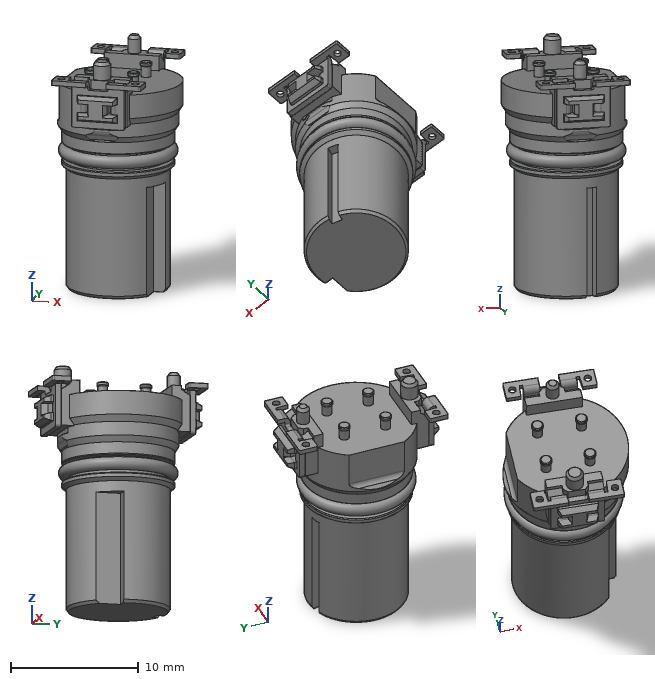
import cadquery as cq
import math

TOTAL_HEIGHT = 19.35
TOTAL_WIDTH_Y = 12.9
TUBE_R = 4.1
TUBE_CHAMFER_IN = 0.2
TUBE_CHAMFER_HEIGHT = 0.25
COLLAR_R = 4.45
GROOVE_R = 3.77
EDGE_CHAMFER = 0.08
BODY_R = 4.78
HEAD_R = 5.1
FLANGE_CONE_BOTTOM = 9.73
FLANGE_RIM_BOTTOM = 10.0
FLANGE_TOP = 10.35
COLLAR_BOTTOM = 11.78
COLLAR_TOP = 12.77
BODY_BOTTOM = 13.25
HEAD_CONE_BOTTOM = 14.34
HEAD_BOTTOM = 14.86
BODY_TOP = 16.75

RING_SECTION_R = 0.5
RING_OUTER_R = 4.7
RING_Z = 11.1

KEYWAY_TOP = 8.88
CORNER_KEYWAY_X = 3.1
CORNER_KEYWAY_Y = -0.68
SLOT_ANGLE = 105.5
SLOT_WIDTH = 0.89
SLOT_FLOOR_R = 3.39

FLAT_X = -4.16
FLAT_BOTTOM = 13.97
HOLLOW_X = -4.49
HOLLOW_Z = 13.56
SLOPE_END_Z = 13.33

SIDE_FLAT_Y = 4.53
NOSE_Y = 4.75
NOSE_TOP = 13.84
NOSE_ROUND_TOP = 13.65
NOSE_ROUND_MID_Y = 4.7
NOSE_ROUND_MID_Z = 13.47
NOSE_SLOPE_Y = 4.62
NOSE_SLOPE_TOP = 13.33
NOSE_FOOT_Y = 4.43
NOSE_FOOT_Z = 12.93

ROOT_DEPTH = 0.2

CONTACT_OFFSET = 1.76
CONTACT_STEM_D = 0.8
CONTACT_HEAD_D = 0.93
CONTACT_HEAD_BOTTOM = 17.6

SHOULDER_TOP = 17.94
CARRIER_HALF_X = 2.25
CARRIER_INNER_Y = 3.75
CARRIER_OUTER_Y = 5.26
CARRIER_BOTTOM = 14.28
RAMP_Y = 4.55
RAMP_TOP = 17.65
RAMP_BOTTOM = 17.16
TONGUE_HALF_X = 1.03
TONGUE_TIP_HALF_X = 0.7
TONGUE_TAPER_Y = 4.91

POST_Y = 4.53
FRONT_POST_D = 1.37
FRONT_POST_TIP_D = 1.0
REAR_POST_D = 1.03
REAR_POST_TIP_D = 0.62
POST_TIP_HEIGHT = 0.27

SHEET_OUTER_Y = 5.73
SHEET_THICKNESS = SHEET_OUTER_Y - CARRIER_OUTER_Y
SHEET_HALF_X = 2.15
SHEET_BOTTOM = 14.15
SHEET_CORNER_R = 0.14
WING_BOTTOM = 17.55
WING_OUTER_Y = 6.35
WING_HALF_X = 3.64
WING_CORNER_R = 0.12
EAR_INNER_Y = 4.78
EAR_INNER_HALF_X = 2.48
RELIEF_HALF_X = 2.4
RELIEF_END_Y = 5.85
EAR_HOLE_D = 0.58
EAR_HOLE_X = (WING_HALF_X + RELIEF_HALF_X) / 2
EAR_HOLE_Y = 5.55
NOTCH_HALF_X = 0.83
NOTCH_CORNER_R = 0.17
NOTCH_BOTTOM = 17.2

CATCH_NECK_Y = 5.95
CATCH_OUTER_Y = TOTAL_WIDTH_Y / 2
CATCH_HALF_X = 1.63
CATCH_TIP_HALF_X = 1.4
CATCH_BOTTOM = 14.73
CATCH_TOP = 16.78
CATCH_TIP_INSET = 0.23
WINDOW_BOTTOM = 15.36
WINDOW_TOP = 16.23
WINDOW_TIP_BOTTOM = 15.23
WEB_TIP_HALF_X = 0.58
WEB_ROOT_HALF_X = 0.8


def box(x0, x1, y0, y1, z0, z1):
    """Box between two corners."""
    return cq.Workplane("XY").box(x1 - x0, y1 - y0, z1 - z0, centered=False).translate((x0, y0, z0))


def turned(points):
    """Solid turned about Z from (radius, z) points; its seam lies on the -Y side."""
    profile = [(-r, z) for r, z in points]
    return cq.Workplane("YZ").polyline(profile).close().revolve(360, (0, 0, 0), (0, 1, 0))


def both_sides(build_for_side):
    """Union of the same shape built for +X and for -X."""
    return build_for_side(1).union(build_for_side(-1))


def turned_body():
    shell = turned([
        (0, 0),
        (TUBE_R - TUBE_CHAMFER_IN, 0),
        (TUBE_R, TUBE_CHAMFER_HEIGHT),
        (TUBE_R, FLANGE_CONE_BOTTOM),
        (COLLAR_R, FLANGE_RIM_BOTTOM),
        (COLLAR_R, FLANGE_TOP - EDGE_CHAMFER),
        (COLLAR_R - EDGE_CHAMFER, FLANGE_TOP),
        (GROOVE_R, FLANGE_TOP),
        (GROOVE_R, COLLAR_BOTTOM),
        (COLLAR_R - EDGE_CHAMFER, COLLAR_BOTTOM),
        (COLLAR_R, COLLAR_BOTTOM + EDGE_CHAMFER),
        (COLLAR_R, COLLAR_TOP),
        (BODY_R, BODY_BOTTOM),
        (BODY_R, BODY_TOP),
        (0, BODY_TOP),
    ])
    head = turned([
        (0, HEAD_CONE_BOTTOM),
        (BODY_R, HEAD_CONE_BOTTOM),
        (HEAD_R, HEAD_BOTTOM),
        (HEAD_R, BODY_TOP),
        (0, BODY_TOP),
    ])
    half_space = box(0, HEAD_R, -HEAD_R, HEAD_R, 0, BODY_TOP)
    return shell.union(head.intersect(half_space))


def sealing_ring():
    center_r = RING_OUTER_R - RING_SECTION_R
    section = cq.Workplane("YZ").center(-center_r, RING_Z).circle(RING_SECTION_R)
    return section.revolve(360, (center_r, 0, 0), (center_r, 1, 0))


def keyways():
    corner = box(CORNER_KEYWAY_X, 2 * TUBE_R, -2 * TUBE_R, CORNER_KEYWAY_Y, 0, KEYWAY_TOP)
    slot = box(SLOT_FLOOR_R, 2 * TUBE_R, -SLOT_WIDTH / 2, SLOT_WIDTH / 2, 0, KEYWAY_TOP)
    return corner.union(slot.rotate((0, 0, 0), (0, 0, 1), SLOT_ANGLE))


def x_flat_cut():
    outer_x = -2 * BODY_R
    slope = (HOLLOW_Z - SLOPE_END_Z) / (HOLLOW_X + BODY_R)
    outer_z = HOLLOW_Z - slope * (HOLLOW_X - outer_x)
    outline = (
        cq.Workplane("XZ")
        .moveTo(FLAT_X, BODY_TOP)
        .lineTo(FLAT_X, FLAT_BOTTOM)
        .tangentArcPoint((HOLLOW_X, HOLLOW_Z), relative=False)
        .lineTo(outer_x, outer_z)
        .lineTo(outer_x, BODY_TOP)
        .close()
    )
    return outline.extrude(BODY_R, both=True)


def side_flat_cut():
    outer_y = -2 * BODY_R
    outline = (
        cq.Workplane("YZ")
        .moveTo(outer_y, BODY_TOP)
        .lineTo(-SIDE_FLAT_Y, BODY_TOP)
        .lineTo(-SIDE_FLAT_Y, NOSE_TOP)
        .lineTo(-NOSE_Y, NOSE_TOP)
        .lineTo(-NOSE_Y, NOSE_ROUND_TOP)
        .threePointArc((-NOSE_ROUND_MID_Y, NOSE_ROUND_MID_Z), (-NOSE_SLOPE_Y, NOSE_SLOPE_TOP))
        .lineTo(-NOSE_FOOT_Y, NOSE_FOOT_Z)
        .lineTo(-NOSE_FOOT_Y, COLLAR_TOP)
        .lineTo(outer_y, COLLAR_TOP)
        .close()
    )
    return outline.extrude(CARRIER_HALF_X, both=True)


def contact_pins():
    stem_r = CONTACT_STEM_D / 2
    head_r = CONTACT_HEAD_D / 2
    pin = turned([
        (0, BODY_TOP - ROOT_DEPTH),
        (stem_r, BODY_TOP - ROOT_DEPTH),
        (stem_r, CONTACT_HEAD_BOTTOM),
        (head_r, CONTACT_HEAD_BOTTOM + EDGE_CHAMFER),
        (head_r, SHOULDER_TOP - EDGE_CHAMFER),
        (head_r - EDGE_CHAMFER, SHOULDER_TOP),
        (0, SHOULDER_TOP),
    ])
    pins = cq.Workplane("XY")
    for x in (-CONTACT_OFFSET, CONTACT_OFFSET):
        for y in (-CONTACT_OFFSET, CONTACT_OFFSET):
            pins = pins.union(pin.translate((x, y, 0)))
    return pins


def guide_post(diameter, tip_diameter, y):
    post = turned([
        (0, SHOULDER_TOP - ROOT_DEPTH),
        (diameter / 2, SHOULDER_TOP - ROOT_DEPTH),
        (diameter / 2, TOTAL_HEIGHT - POST_TIP_HEIGHT),
        (tip_diameter / 2, TOTAL_HEIGHT),
        (0, TOTAL_HEIGHT),
    ])
    return post.translate((0, y, 0))


def carrier():
    """Block on the -Y side with a ramped outer edge and a tapered tongue in its middle."""
    profile = [
        (-CARRIER_INNER_Y, CARRIER_BOTTOM),
        (-CARRIER_INNER_Y, SHOULDER_TOP),
        (-RAMP_Y, SHOULDER_TOP),
        (-RAMP_Y, RAMP_TOP),
        (-CARRIER_OUTER_Y, RAMP_BOTTOM),
        (-CARRIER_OUTER_Y, CARRIER_BOTTOM),
    ]
    block = cq.Workplane("YZ").polyline(profile).close().extrude(CARRIER_HALF_X, both=True)
    tongue_outline = [
        (-TONGUE_HALF_X, -CARRIER_INNER_Y),
        (-TONGUE_HALF_X, -TONGUE_TAPER_Y),
        (-TONGUE_TIP_HALF_X, -CARRIER_OUTER_Y),
        (TONGUE_TIP_HALF_X, -CARRIER_OUTER_Y),
        (TONGUE_HALF_X, -TONGUE_TAPER_Y),
        (TONGUE_HALF_X, -CARRIER_INNER_Y),
    ]
    tongue = (
        cq.Workplane("XY", origin=(0, 0, CARRIER_BOTTOM))
        .polyline(tongue_outline)
        .close()
        .extrude(SHOULDER_TOP - CARRIER_BOTTOM)
    )
    return block.union(tongue)


def wing(side):
    """Ear with its hole at one end of the folded-out top of the clip."""
    outline = [
        (0, -RELIEF_END_Y),
        (RELIEF_HALF_X, -RELIEF_END_Y),
        (EAR_INNER_HALF_X, -EAR_INNER_Y),
        (WING_HALF_X, -EAR_INNER_Y),
        (WING_HALF_X, -WING_OUTER_Y),
        (0, -WING_OUTER_Y),
    ]
    plate = (
        cq.Workplane("XY", origin=(0, 0, WING_BOTTOM))
        .polyline([(side * x, y) for x, y in outline])
        .close()
        .extrude(SHOULDER_TOP - WING_BOTTOM)
    )
    outer_end = ">X" if side > 0 else "<X"
    plate = plate.faces(outer_end).edges("|Z").fillet(WING_CORNER_R)
    hole = (
        cq.Workplane("XY", origin=(side * EAR_HOLE_X, -EAR_HOLE_Y, WING_BOTTOM))
        .circle(EAR_HOLE_D / 2)
        .extrude(SHOULDER_TOP - WING_BOTTOM)
    )
    return plate.cut(hole)


def clip_sheet():
    """Upright sheet on the -Y side, folded outwards at its top into two wings."""
    profile = (
        cq.Workplane("YZ")
        .moveTo(-CARRIER_OUTER_Y, SHEET_BOTTOM)
        .lineTo(-CARRIER_OUTER_Y, SHOULDER_TOP - SHEET_THICKNESS)
        .tangentArcPoint((-SHEET_OUTER_Y, SHOULDER_TOP), relative=False)
        .lineTo(-RELIEF_END_Y, SHOULDER_TOP)
        .lineTo(-RELIEF_END_Y, WING_BOTTOM)
        .lineTo(-SHEET_OUTER_Y, WING_BOTTOM)
        .lineTo(-SHEET_OUTER_Y, SHEET_BOTTOM)
        .close()
    )
    sheet = profile.extrude(SHEET_HALF_X, both=True)
    sheet = sheet.edges("|Y and <Z").fillet(SHEET_CORNER_R)
    notch = box(
        -NOTCH_HALF_X, NOTCH_HALF_X, -2 * WING_OUTER_Y, -CARRIER_OUTER_Y, NOTCH_BOTTOM, TOTAL_HEIGHT
    )
    notch = notch.edges("|Y and <Z").fillet(NOTCH_CORNER_R)
    return sheet.union(both_sides(wing)).cut(notch)


def catch():
    """Straight neck on the sheet with a tip that narrows outwards."""
    neck = box(
        -CATCH_HALF_X, CATCH_HALF_X, -CATCH_NECK_Y, -SHEET_OUTER_Y, CATCH_BOTTOM, CATCH_TOP
    )
    height = CATCH_TOP - CATCH_BOTTOM
    tip = (
        cq.Workplane("XZ", origin=(0, -CATCH_NECK_Y, CATCH_BOTTOM + height / 2))
        .rect(2 * CATCH_HALF_X, height)
        .workplane(offset=CATCH_OUTER_Y - CATCH_NECK_Y)
        .rect(2 * CATCH_TIP_HALF_X, height - 2 * CATCH_TIP_INSET)
        .loft(ruled=True)
    )
    return neck.union(tip)


def catch_window(side):
    """Opening beside the web, closed at its bottom by a rounded lip of the sheet."""
    lip_end_x = CATCH_TIP_HALF_X - SHEET_THICKNESS
    half_way = SHEET_THICKNESS * math.sqrt(0.5)
    lip_middle = (side * (CATCH_TIP_HALF_X - half_way), -CARRIER_OUTER_Y - half_way)
    outline = (
        cq.Workplane("XY", origin=(0, 0, WINDOW_BOTTOM))
        .moveTo(side * WEB_TIP_HALF_X, -CATCH_OUTER_Y)
        .lineTo(side * WEB_ROOT_HALF_X, -CATCH_NECK_Y)
        .lineTo(side * WEB_ROOT_HALF_X, -CARRIER_OUTER_Y)
        .lineTo(side * lip_end_x, -CARRIER_OUTER_Y)
        .threePointArc(lip_middle, (side * CATCH_TIP_HALF_X, -SHEET_OUTER_Y))
        .lineTo(side * 2 * CATCH_HALF_X, -SHEET_OUTER_Y)
        .lineTo(side * 2 * CATCH_HALF_X, -CATCH_OUTER_Y)
        .close()
    )
    opening = outline.extrude(WINDOW_TOP - WINDOW_BOTTOM)
    slope_length = 2 * CATCH_HALF_X - WEB_TIP_HALF_X
    slope = (
        cq.Workplane("YZ", origin=(side * WEB_TIP_HALF_X, 0, 0))
        .polyline([
            (-CATCH_NECK_Y, WINDOW_BOTTOM),
            (-CATCH_OUTER_Y, WINDOW_BOTTOM),
            (-CATCH_OUTER_Y, WINDOW_TIP_BOTTOM),
        ])
        .close()
        .extrude(side * slope_length)
    )
    return opening.union(slope)


def clip():
    return clip_sheet().union(catch()).cut(both_sides(catch_window))


def mirrored_pair(shape):
    """The shape on the -Y side together with its mirror image on the +Y side."""
    return shape.union(shape.mirror("XZ"))


body = turned_body().cut(keyways()).cut(x_flat_cut()).cut(mirrored_pair(side_flat_cut()))
body = body.union(sealing_ring()).union(contact_pins())
fittings = mirrored_pair(carrier().union(clip()))
front_post = guide_post(FRONT_POST_D, FRONT_POST_TIP_D, -POST_Y)
rear_post = guide_post(REAR_POST_D, REAR_POST_TIP_D, POST_Y)
result = body.union(fittings).union(front_post).union(rear_post)